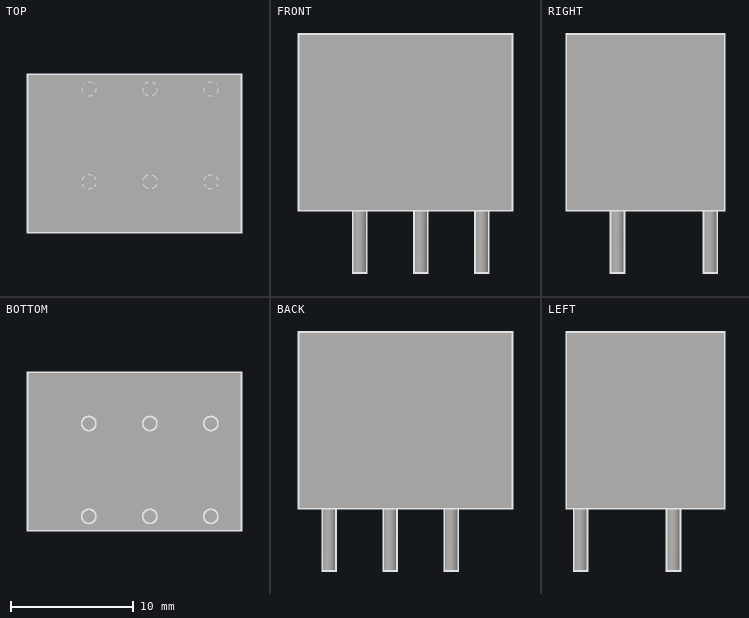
import cadquery as cq

housing_length = 17.55
housing_width = 13.0
total_height = 19.6
pin_length = 5.1
housing_height = total_height - pin_length

pin_diameter = 1.15
pin_pitch = 5.0
row_spacing = 7.6
first_pin_x = -3.75
front_row_y = -2.3
pins_per_row = 3
row_count = 2


def make_housing():
    """Plain rectangular block with its underside at Z = 0."""
    return cq.Workplane("XY").box(
        housing_length, housing_width, housing_height, centered=(True, True, False)
    )


def make_pin(x, y):
    """Round pin hanging from the housing underside."""
    return cq.Workplane("XY").center(x, y).circle(pin_diameter / 2).extrude(-pin_length)


housing = make_housing()

pins = []
for row in range(row_count):
    for column in range(pins_per_row):
        pin_x = first_pin_x + column * pin_pitch
        pin_y = front_row_y + row * row_spacing
        pins.append(make_pin(pin_x, pin_y))

result = cq.Compound.makeCompound([housing.val(), *[pin.val() for pin in pins]])